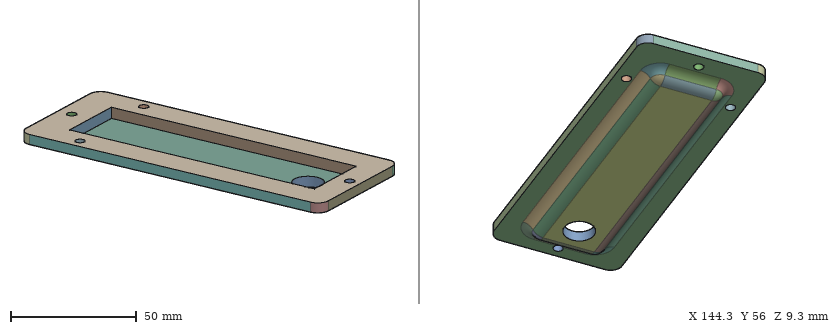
import cadquery as cq
import math

plate_length = 144.3
plate_width = 56.0
plate_thickness = 4.3
plate_corner_radius = 5.0

recess_x = 1.7

bulge_depth = 5.0
bulge_flat_length = 110.8
bulge_flat_width = 22.5
bulge_arc_radius = 5.0
bulge_arc_angle = math.acos(1 - bulge_depth / (2 * bulge_arc_radius))
bulge_side_run = 2 * bulge_arc_radius * math.sin(bulge_arc_angle)
bulge_overlap = plate_thickness / 2

pocket_length = 116.9
pocket_width = 30.0
pocket_depth = 4.8

screw_hole_diameter = 4.0
left_hole_x = -65.7
right_hole_x = 67.1
side_hole_x = -46.5
side_hole_y = 22.8
large_hole_diameter = 13.0
large_hole_x = 47.2


def rounded_outline(length, width, radius):
    """Rectangle with rounded corners, centred on the origin."""
    return cq.Sketch().rect(length, width).vertices().fillet(radius)


def make_plate():
    outline = rounded_outline(plate_length, plate_width, plate_corner_radius)
    return cq.Workplane("XY").placeSketch(outline).extrude(plate_thickness)


def draw_bulge_side(profile, flat_end):
    """Continue a profile from the end of the flat bottom, out and up into the plate."""
    half_angle = bulge_arc_angle / 2
    arc_mid_out = bulge_arc_radius * math.sin(half_angle)
    arc_mid_rise = bulge_arc_radius * (1 - math.cos(half_angle))
    root = flat_end + bulge_side_run
    return (
        profile.threePointArc(
            (flat_end + arc_mid_out, -bulge_depth + arc_mid_rise),
            (flat_end + bulge_side_run / 2, -bulge_depth / 2),
        )
        .threePointArc((root - arc_mid_out, -arc_mid_rise), (root, 0))
        .lineTo(root, bulge_overlap)
    )


def make_bulge_prism(plane, flat_width, length):
    """Straight stretch of the bulge, with both curved sides, along the plane's normal."""
    half_profile = cq.Workplane(plane, origin=(recess_x, 0, 0)).moveTo(0, -bulge_depth)
    half_profile = draw_bulge_side(half_profile.lineTo(flat_width / 2, -bulge_depth), flat_width / 2)
    half_profile = half_profile.lineTo(0, bulge_overlap).close()
    half = half_profile.extrude(length / 2, both=True)
    return half.union(half.rotate((recess_x, 0, 0), (recess_x, 0, 1), 180))


def make_bulge_corner(x, y):
    """Curved side revolved about a corner of the flat bottom."""
    profile = cq.Workplane("XZ", origin=(x, y, 0)).moveTo(0, -bulge_depth)
    profile = draw_bulge_side(profile, 0).lineTo(0, bulge_overlap).close()
    return profile.revolve(360, (0, 0, 0), (0, 1, 0))


def make_bulge():
    bulge = make_bulge_prism("XZ", bulge_flat_length, bulge_flat_width)
    bulge = bulge.union(make_bulge_prism("YZ", bulge_flat_width, bulge_flat_length))
    for x_side in (-1, 1):
        for y_side in (-1, 1):
            corner_x = recess_x + x_side * bulge_flat_length / 2
            corner_y = y_side * bulge_flat_width / 2
            bulge = bulge.union(make_bulge_corner(corner_x, corner_y))
    return bulge


def cut_pocket(body):
    pocket = (
        cq.Workplane("XY", origin=(recess_x, 0, plate_thickness))
        .rect(pocket_length, pocket_width)
        .extrude(-pocket_depth)
    )
    return body.cut(pocket)


def drill_through(body, diameter, centres):
    drills = (
        cq.Workplane("XY", origin=(0, 0, plate_thickness))
        .pushPoints(centres)
        .circle(diameter / 2)
        .extrude(-(plate_thickness + bulge_depth))
    )
    return body.cut(drills)


screw_hole_centres = [
    (left_hole_x, 0),
    (right_hole_x, 0),
    (side_hole_x, side_hole_y),
    (side_hole_x, -side_hole_y),
]

result = make_plate().union(make_bulge()).clean()
result = cut_pocket(result)
result = drill_through(result, screw_hole_diameter, screw_hole_centres)
result = drill_through(result, large_hole_diameter, [(large_hole_x, 0)])